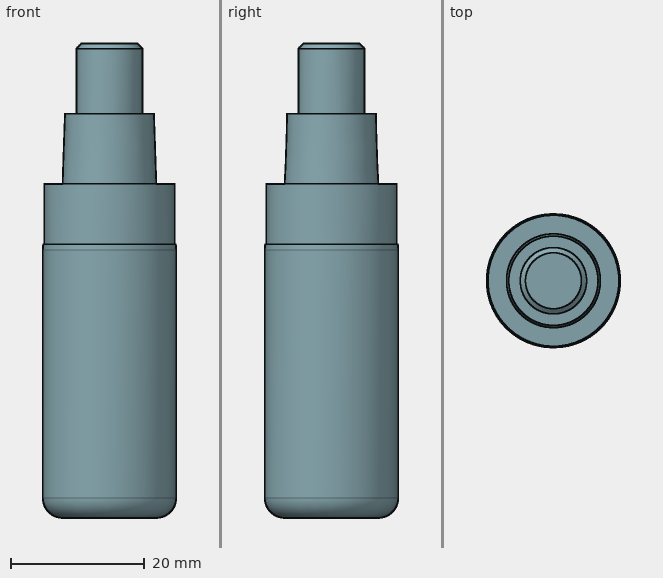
import cadquery as cq

TOTAL_HEIGHT = 71.0
PIN_LENGTH = 10.5
NECK_LENGTH = 10.5
COLLAR_LENGTH = 9.0
neck_top = TOTAL_HEIGHT - PIN_LENGTH
collar_top = neck_top - NECK_LENGTH
sleeve_top = collar_top - COLLAR_LENGTH

SLEEVE_RADIUS = 10.0
BASE_ROUND = 3.05
BEVEL_WIDTH = 0.1
BEVEL_HEIGHT = 0.85

COLLAR_RADIUS = 9.8
NECK_BASE_RADIUS = 7.0
NECK_TOP_RADIUS = 6.7
PIN_RADIUS = 5.0
PIN_CHAMFER = 0.8


def make_sleeve():
    """Turned cylinder whose flat top face carries the spindle."""
    profile = (
        cq.Workplane("XZ")
        .lineTo(SLEEVE_RADIUS - BASE_ROUND, 0)
        .radiusArc((SLEEVE_RADIUS, BASE_ROUND), -BASE_ROUND)
        .lineTo(SLEEVE_RADIUS, sleeve_top - BEVEL_HEIGHT)
        .lineTo(SLEEVE_RADIUS - BEVEL_WIDTH, sleeve_top)
        .lineTo(0, sleeve_top)
        .close()
    )
    return profile.revolve(360, (0, 0, 0), (0, 1, 0))


def make_spindle():
    """Stepped profile turned about the Z axis, standing on the sleeve."""
    profile = (
        cq.Workplane("XZ")
        .moveTo(0, sleeve_top)
        .lineTo(COLLAR_RADIUS, sleeve_top)
        .lineTo(COLLAR_RADIUS, collar_top)
        .lineTo(NECK_BASE_RADIUS, collar_top)
        .lineTo(NECK_TOP_RADIUS, neck_top)
        .lineTo(PIN_RADIUS, neck_top)
        .lineTo(PIN_RADIUS, TOTAL_HEIGHT - PIN_CHAMFER)
        .lineTo(PIN_RADIUS - PIN_CHAMFER, TOTAL_HEIGHT)
        .lineTo(0, TOTAL_HEIGHT)
        .close()
    )
    return profile.revolve(360, (0, 0, 0), (0, 1, 0))


sleeve = make_sleeve()
spindle = make_spindle()

result = cq.Compound.makeCompound([sleeve.val(), spindle.val()])